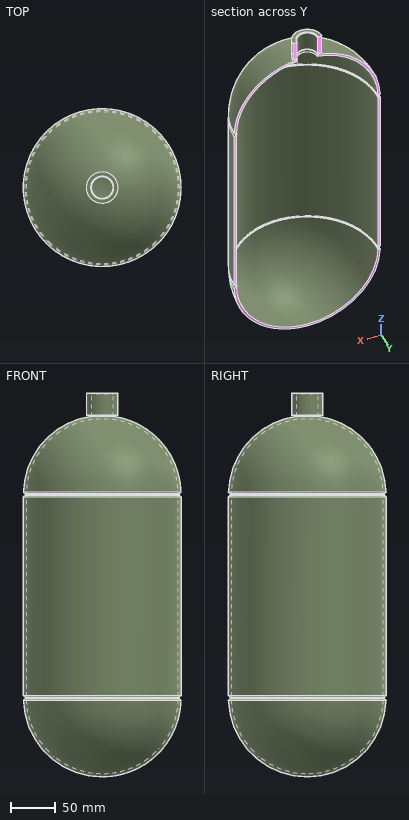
import cadquery as cq
import math

total_height = 432.0
outer_radius = 89.0
wall = 3.5
inner_radius = outer_radius - wall

bevel = 2.0
root_gap = 1.5

neck_height = 25.0
neck_radius = 17.5
bore_radius = 12.0
bore_chamfer = 1.0

neck_base = total_height - neck_height
lower_center = outer_radius
upper_center = neck_base - outer_radius
shell_length = upper_center - lower_center - root_gap


def make_dome():
    """Hollow dome centred on the origin, pole up, trimmed by half the gap and bevelled around its rim."""
    rim_height = root_gap / 2
    bevel_height = rim_height + bevel
    bevel_radius = math.sqrt(outer_radius**2 - bevel_height**2)
    rim_inner_radius = math.sqrt(inner_radius**2 - rim_height**2)
    diagonal = math.sqrt(0.5)
    return (
        cq.Workplane("XZ")
        .moveTo(rim_inner_radius, rim_height)
        .lineTo(bevel_radius - bevel, rim_height)
        .lineTo(bevel_radius, bevel_height)
        .threePointArc((outer_radius * diagonal, outer_radius * diagonal), (0, outer_radius))
        .lineTo(0, inner_radius)
        .threePointArc((inner_radius * diagonal, inner_radius * diagonal), (rim_inner_radius, rim_height))
        .close()
        .revolve(360, (0, 0, 0), (0, 1, 0))
    )


def make_shell():
    """Tube between the domes, bevelled around both outer rims."""
    tube = cq.Workplane("XY").circle(outer_radius).extrude(shell_length).edges().chamfer(bevel)
    bore = cq.Workplane("XY").circle(inner_radius).extrude(shell_length)
    return tube.cut(bore).translate((0, 0, lower_center + root_gap / 2))


def make_upper_dome():
    """Dome with an opening at its pole that continues the neck bore."""
    opening = cq.Workplane("XY").circle(bore_radius).extrude(outer_radius)
    return make_dome().cut(opening).translate((0, 0, upper_center))


def make_lower_dome():
    """Closed dome, pole down."""
    return make_dome().rotate((0, 0, 0), (1, 0, 0), 180).translate((0, 0, lower_center))


def make_neck():
    """Straight boss with a through bore, chamfered at the mouth."""
    boss = cq.Workplane("XY").circle(neck_radius).circle(bore_radius).extrude(neck_height)
    mouth = boss.faces(">Z").edges(cq.selectors.RadiusNthSelector(0))
    return mouth.chamfer(bore_chamfer).translate((0, 0, neck_base))


shell = make_shell()
upper_dome = make_upper_dome()
lower_dome = make_lower_dome()
neck = make_neck()

result = cq.Compound.makeCompound([shell.val(), upper_dome.val(), lower_dome.val(), neck.val()])